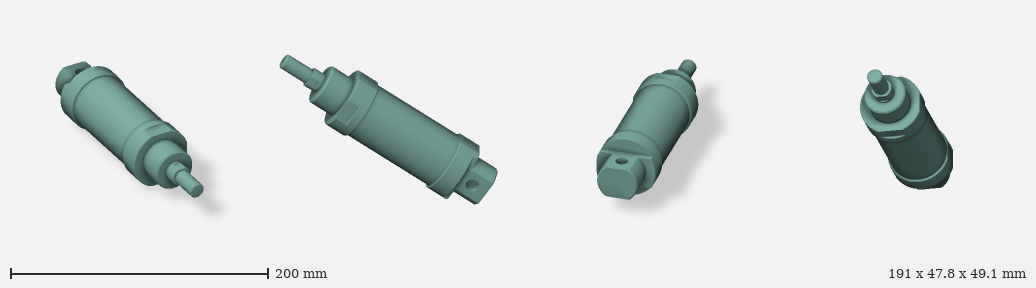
import cadquery as cq


CLEVIS_CAP_FACE_X = 22.0
BARREL_START_X = 40.3
BARREL_END_X = 117.8
NOSE_START_X = 135.8
ROD_START_X = 156.2
TIP_START_X = 168.0
ROD_END_X = 191.0

CAP_RADIUS = 24.55
CAP_SIDE_FLAT_Y = 23.2
CAP_CHAMFER = 0.5

TONGUE_RADIUS = 16.5
TONGUE_THICKNESS = 26.0
TONGUE_FLAT_END_X = 26.5
TONGUE_CHAMFER = 1.0
PIN_HOLE_X = 13.0
PIN_HOLE_DIAMETER = 10.1

BARREL_RADIUS = 22.7

NOSE_RADIUS = 16.5
NOSE_CHAMFER = 1.1
NOSE_FLAT_START_X = 125.1
NOSE_FLAT_SPAN = 45.3
NOSE_FLAT_FILLET = 1.0

ROD_DIAMETER = 15.9
ROD_RADIUS = ROD_DIAMETER / 2
ROD_SHOULDER_X = 167.0
ROD_CHAMFER = 0.4
ROD_FLAT_START_X = 158.5
ROD_FLAT_SPAN = 14.0
ROD_FLAT_FILLET = 0.5
NECK_RADIUS = 5.5
TIP_RADIUS = 6.1
TIP_CHAMFER = 1.0


def cylinder(start_x, end_x, radius):
    """Solid cylinder on the X axis."""
    return cq.Workplane("YZ").workplane(offset=start_x).circle(radius).extrude(end_x - start_x)


def flat_cutters(start_x, end_x, span, radius):
    """Pair of blocks that leave flats at +Z and -Z, a given span apart, on a round of this radius."""
    depth = radius - span / 2
    block = cq.Workplane("XY").box(end_x - start_x, 2 * radius, depth)
    middle_x = (start_x + end_x) / 2
    middle_z = span / 2 + depth / 2
    return [block.translate((middle_x, 0, side * middle_z)) for side in (1, -1)]


def cut_flats(body, start_x, end_x, span, radius, end_fillet=0):
    """Mill the +Z and -Z flats; a fillet rounds the inside corner at start_x."""
    for side, cutter in zip((1, -1), flat_cutters(start_x, end_x, span, radius)):
        if end_fillet:
            inner_face = "<Z" if side > 0 else ">Z"
            cutter = cutter.faces(inner_face).edges("<X").fillet(end_fillet)
        body = body.cut(cutter)
    return body


def cut_side_flat(body, start_x, end_x):
    """Mill the flat on the +Y side of a cap."""
    depth = CAP_RADIUS - CAP_SIDE_FLAT_Y
    cutter = cq.Workplane("XY").box(end_x - start_x, depth, 2 * CAP_RADIUS)
    return body.cut(cutter.translate(((start_x + end_x) / 2, CAP_SIDE_FLAT_Y + depth / 2, 0)))


def make_clevis_cap():
    disc = cylinder(CLEVIS_CAP_FACE_X, BARREL_START_X, CAP_RADIUS).faces("<X or >X").chamfer(CAP_CHAMFER)
    disc = cut_side_flat(disc, CLEVIS_CAP_FACE_X, BARREL_START_X)
    tongue = cylinder(0, CLEVIS_CAP_FACE_X, TONGUE_RADIUS).faces("<X").chamfer(TONGUE_CHAMFER)
    cap = cut_flats(disc.union(tongue), 0, TONGUE_FLAT_END_X, TONGUE_THICKNESS, CAP_RADIUS)
    pin_hole = (
        cq.Workplane("XY")
        .center(PIN_HOLE_X, 0)
        .circle(PIN_HOLE_DIAMETER / 2)
        .extrude(TONGUE_THICKNESS / 2, both=True)
    )
    return cap.cut(pin_hole)


def make_barrel():
    return cylinder(BARREL_START_X, BARREL_END_X, BARREL_RADIUS)


def make_nose_cap():
    disc = cylinder(BARREL_END_X, NOSE_START_X, CAP_RADIUS).faces("<X or >X").chamfer(CAP_CHAMFER)
    disc = cut_side_flat(disc, BARREL_END_X, NOSE_START_X)
    disc = cut_flats(
        disc, NOSE_FLAT_START_X, NOSE_START_X, NOSE_FLAT_SPAN, CAP_RADIUS, NOSE_FLAT_FILLET
    )
    nose = cylinder(NOSE_START_X, ROD_START_X, NOSE_RADIUS).faces(">X").chamfer(NOSE_CHAMFER)
    return disc.union(nose)


def make_rod():
    shank = cylinder(ROD_START_X, ROD_SHOULDER_X, ROD_RADIUS).faces(">X").chamfer(ROD_CHAMFER)
    shank = cut_flats(
        shank, ROD_FLAT_START_X, ROD_SHOULDER_X, ROD_FLAT_SPAN, ROD_RADIUS, ROD_FLAT_FILLET
    )
    neck = cylinder(ROD_SHOULDER_X, TIP_START_X, NECK_RADIUS)
    tip = cylinder(TIP_START_X, ROD_END_X, TIP_RADIUS).faces(">X").chamfer(TIP_CHAMFER)
    return shank.union(neck).union(tip)


clevis_cap = make_clevis_cap()
barrel = make_barrel()
nose_cap = make_nose_cap()
piston_rod = make_rod()

result = cq.Compound.makeCompound(
    [clevis_cap.val(), barrel.val(), nose_cap.val(), piston_rod.val()]
)